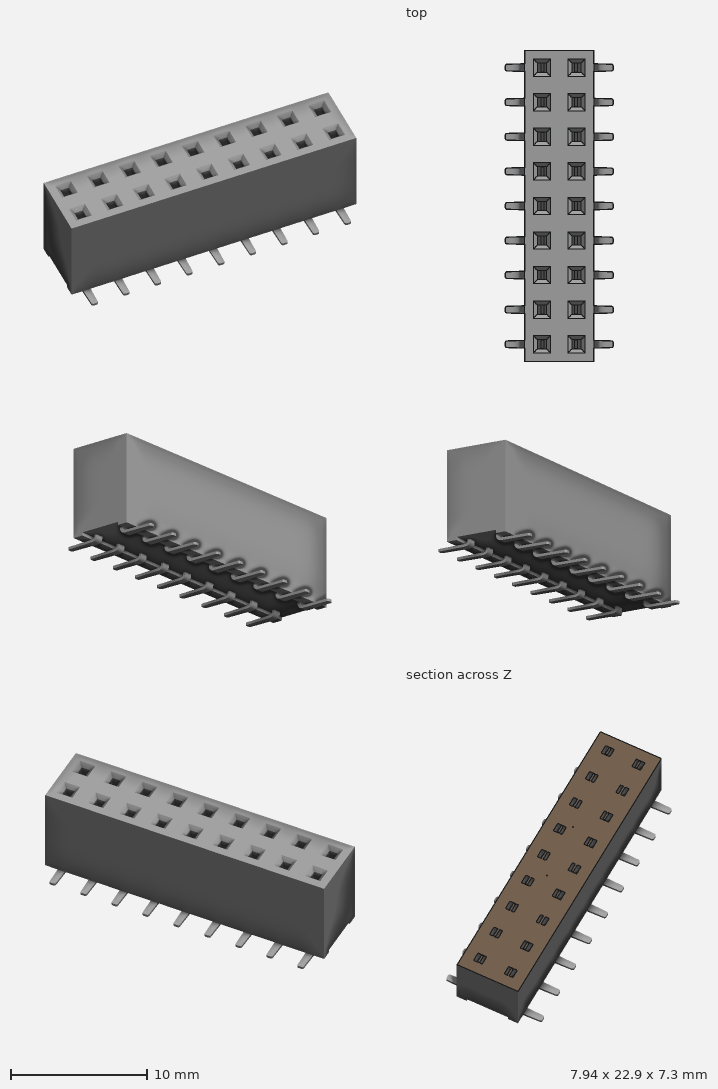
import cadquery as cq

PITCH = 2.54
ROWS = 9
BODY_LENGTH = ROWS * PITCH
BODY_WIDTH = 2 * PITCH
OVERALL_WIDTH = 7.94
OVERALL_HEIGHT = 7.3

STANDOFF = 0.28
FOOT_WIDTH = 0.84
FOOT_HEIGHT = 0.24
BODY_HEIGHT = OVERALL_HEIGHT - STANDOFF

ENTRY_SIZE = 1.27
SOCKET_SIZE = 0.68
ENTRY_DEPTH = (ENTRY_SIZE - SOCKET_SIZE) / 2
SOCKET_DEPTH = 5.0

SHEET = 0.2
STRIP_WIDTH = 0.66
TIP_WIDTH = 0.5
BEND_INNER_RADIUS = 0.2
BEND_OUTER_RADIUS = BEND_INNER_RADIUS + SHEET
CONTACT_INNER_FACE = 1.13
CONTACT_SETBACK = 2.0
CONTACT_TOP = OVERALL_HEIGHT - CONTACT_SETBACK
TIP_RADIUS = 0.15


def make_housing():
    """Rectangular block with a channel along the underside, leaving two feet."""
    block = (
        cq.Workplane("XY")
        .workplane(offset=STANDOFF)
        .rect(BODY_WIDTH, BODY_LENGTH)
        .extrude(BODY_HEIGHT)
    )
    channel = (
        cq.Workplane("XY")
        .workplane(offset=STANDOFF)
        .rect(BODY_WIDTH - 2 * FOOT_WIDTH, BODY_LENGTH)
        .extrude(FOOT_HEIGHT)
    )
    return block.cut(channel)


def make_socket():
    """Square blind hole with a pyramidal lead-in, centred on the Z axis."""
    entry = (
        cq.Workplane("XY")
        .workplane(offset=OVERALL_HEIGHT)
        .rect(ENTRY_SIZE, ENTRY_SIZE)
        .workplane(offset=-ENTRY_DEPTH)
        .rect(SOCKET_SIZE, SOCKET_SIZE)
        .loft(ruled=True)
    )
    shaft = (
        cq.Workplane("XY")
        .workplane(offset=OVERALL_HEIGHT - SOCKET_DEPTH)
        .rect(SOCKET_SIZE, SOCKET_SIZE)
        .extrude(SOCKET_DEPTH - ENTRY_DEPTH)
    )
    return entry.union(shaft)


def make_contact():
    """Upright strip on the +X side, bent outward at the bottom into a flat lead."""
    outer_face = CONTACT_INNER_FACE + SHEET
    bend_x = CONTACT_INNER_FACE + BEND_OUTER_RADIUS
    bend_z = BEND_OUTER_RADIUS
    tip_x = OVERALL_WIDTH / 2
    strip = (
        cq.Workplane("XZ")
        .moveTo(tip_x, 0)
        .lineTo(bend_x, 0)
        .radiusArc((CONTACT_INNER_FACE, bend_z), BEND_OUTER_RADIUS)
        .lineTo(CONTACT_INNER_FACE, CONTACT_TOP)
        .lineTo(outer_face, CONTACT_TOP)
        .lineTo(outer_face, bend_z)
        .radiusArc((bend_x, SHEET), -BEND_INNER_RADIUS)
        .lineTo(tip_x, SHEET)
        .close()
        .extrude(STRIP_WIDTH / 2, both=True)
    )
    return strip.intersect(make_contact_plan(outer_face, tip_x))


def make_contact_plan(taper_start_x, tip_x):
    """Prism with the contact's plan outline: parallel sides, then a taper to a rounded tip."""
    outline = (
        cq.Workplane("XY")
        .moveTo(CONTACT_INNER_FACE, -STRIP_WIDTH / 2)
        .lineTo(taper_start_x, -STRIP_WIDTH / 2)
        .lineTo(tip_x, -TIP_WIDTH / 2)
        .lineTo(tip_x, TIP_WIDTH / 2)
        .lineTo(taper_start_x, STRIP_WIDTH / 2)
        .lineTo(CONTACT_INNER_FACE, STRIP_WIDTH / 2)
        .close()
        .extrude(CONTACT_TOP)
    )
    return outline.edges("|Z and >X").fillet(TIP_RADIUS)


def row_positions():
    return [(row - (ROWS - 1) / 2) * PITCH for row in range(ROWS)]


socket = make_socket()
contact_right = make_contact()
contact_left = contact_right.mirror("YZ")

sockets = []
contacts = []
for y in row_positions():
    sockets.append(socket.translate((PITCH / 2, y, 0)).val())
    sockets.append(socket.translate((-PITCH / 2, y, 0)).val())
    contacts.append(contact_right.translate((0, y, 0)).val())
    contacts.append(contact_left.translate((0, y, 0)).val())

housing = make_housing().val().cut(*sockets)
result = cq.Workplane("XY").newObject([housing.fuse(*contacts)])